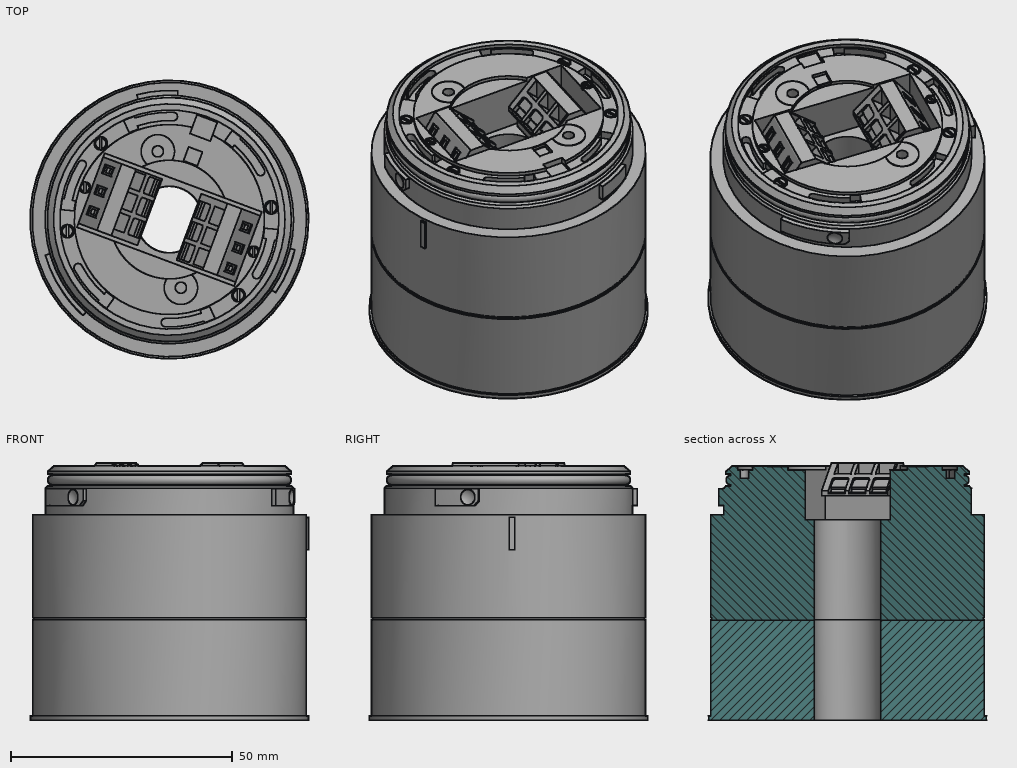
import cadquery as cq
import math

FLANGE_D = 63.0
FLANGE_H = 1.0
BODY_D = 62.0
BASE_H = 22.7
CABLE_HOLE_D = 15.0

JOINT_GAP_H = 0.5
JOINT_GAP_DEPTH = 0.25
SHOULDER_Z = 46.5
NECK_D = 56.2
NECK_TOP_Z = 53.0
NECK_CHAMFER = 0.5
LIP_D = 55.1
LIP_BOTTOM_Z = 55.6
LIP_EDGE_Z = 56.25
LIP_TOP_D = 52.3
RIM_Z = 57.5
SEAL_D = 55.1
SEAL_SECTION_D = 2.15
SEAL_Z = 54.3

MARKER_W = 1.25
MARKER_TOP_Z = 45.85
MARKER_BOTTOM_Z = 38.55
MARKER_Y = 0.75

LUG_R = 29.15
LUG_ROOT = 0.6
LUG_BOTTOM_Z = 48.5
LUG_TOP_Z = 52.35
LUGS = [(86.2, 104.6, None), (196.0, 228.0, 221.6), (-34.5, -13.5, -18.4)]
LUG_LEAD_IN = 1.1
DETENT_SPHERE_D = 5.5
DETENT_DEPTH = 0.6

CHANNEL_OUTER_R = 24.75
CHANNEL_INNER_R = 21.5
CHANNEL_DEPTH = 0.9
CHANNEL_Z = RIM_Z - CHANNEL_DEPTH

SLOT_COUNT = 6
SLOT_FIRST_ANGLE = 114.8
SLOT_SPAN = 27.0
SLOT_HEAD_SPAN = 6.0
SLOT_MID_R = 23.3
SLOT_W = 1.9
SLOT_HEAD_MARGIN = 0.1
SLOT_DEPTH = 1.9

RING_SCREW_D = 3.0
RING_SCREW_R = 23.2
RING_SCREW_ANGLES = [132.0, 186.5, 6.8, -47.6]
DISC_SCREW_D = 2.5
DISC_SCREW_R = 20.4
DISC_SCREW_ANGLES = [159.2, 159.2 - 180]
SCREW_HEAD_GAP = 0.3
SCREW_DEPTH = 0.75
DRIVE_W = 0.5

INSERT_TILT = -20.5
DISC_RECESS_D = 26.85
DISC_RECESS_DEPTH = 0.9
BOSS_D = 7.55
BOSS_STEP = 0.1
BOSS_HOLE_D = 2.5
BOSS_HOLE_DEPTH = 5.05
BOSS_R = 15.6
BOSS_ANGLES = [99.6, 99.6 - 180]
NOTCH_RADIAL = 4.55
NOTCH_W = 4.9
NOTCH_R = 22.1
NOTCH_DEPTH = 1.5
TAB_SIZE = 3.35
TAB_R = 15.25
TAB_ANGLE = INSERT_TILT + 90

POCKET_L = 37.9
POCKET_W = 17.9
POCKET_FLOOR_Z = 45.35
BLOCK_W = 16.0
BLOCK_TOP_Z = 58.2
BLOCK_INNER_U = 4.7
BLOCK_FLAT_START_U = 11.0
BLOCK_FLAT_END_U = 14.8
INNER_DROP = BLOCK_FLAT_START_U - BLOCK_INNER_U
OUTER_DROP = 6.9
OUTER_CHAMFER = 0.3
INNER_FACE_H = 1.2
FOOT_SETBACK = 2.2
POLE_PITCH = 5.0
POLE_OFFSET = -0.55
POLE_W = 3.95
CLAMP_RUN = 2.45
CLAMP_DEPTH = 4.9
ENTRY_L = 4.15
ENTRY_DEPTH = 0.5
ENTRY_CORNER_R = 0.6
ENTRY_STEP_L = 1.65
ENTRY_STEP_DEPTH = 1.25
TEST_L = 4.1
TEST_W = 2.15
TEST_DEPTH = 0.4
TEST_HOLE_L = 2.4
TEST_HOLE_W = 1.2
TEST_HOLE_DEPTH = 1.25


def cylinder(diameter, z_bottom, z_top):
    return cq.Workplane("XY").workplane(offset=z_bottom).circle(diameter / 2).extrude(z_top - z_bottom)


def polar(radius, angle):
    a = math.radians(angle)
    return (radius * math.cos(a), radius * math.sin(a))


def sector(r_in, r_out, start, end, z_bottom, z_top):
    """Annular sector between two radii and two angles."""
    mid = (start + end) / 2
    return (
        cq.Workplane("XY")
        .workplane(offset=z_bottom)
        .moveTo(*polar(r_in, start))
        .lineTo(*polar(r_out, start))
        .threePointArc(polar(r_out, mid), polar(r_out, end))
        .lineTo(*polar(r_in, end))
        .threePointArc(polar(r_in, mid), polar(r_in, start))
        .close()
        .extrude(z_top - z_bottom)
    )


def make_base():
    base = cylinder(FLANGE_D, 0, FLANGE_H).union(cylinder(BODY_D, FLANGE_H, BASE_H))
    return base.cut(cylinder(CABLE_HOLE_D, 0, BASE_H))


def module_shell():
    joint_r = BODY_D / 2 - JOINT_GAP_DEPTH
    seal_r = (SEAL_D - SEAL_SECTION_D) / 2
    profile = (
        cq.Workplane("XZ")
        .moveTo(0, BASE_H)
        .lineTo(joint_r, BASE_H)
        .lineTo(joint_r, BASE_H + JOINT_GAP_H)
        .lineTo(BODY_D / 2, BASE_H + JOINT_GAP_H)
        .lineTo(BODY_D / 2, SHOULDER_Z)
        .lineTo(NECK_D / 2, SHOULDER_Z)
        .lineTo(NECK_D / 2, NECK_TOP_Z - NECK_CHAMFER)
        .lineTo(NECK_D / 2 - NECK_CHAMFER, NECK_TOP_Z)
        .lineTo(seal_r, NECK_TOP_Z)
        .lineTo(seal_r, SEAL_Z - SEAL_SECTION_D / 2)
        .threePointArc((SEAL_D / 2, SEAL_Z), (seal_r, SEAL_Z + SEAL_SECTION_D / 2))
        .lineTo(seal_r, LIP_BOTTOM_Z)
        .lineTo(LIP_D / 2, LIP_BOTTOM_Z)
        .lineTo(LIP_D / 2, LIP_EDGE_Z)
        .lineTo(LIP_TOP_D / 2, RIM_Z)
        .lineTo(0, RIM_Z)
        .close()
    )
    return profile.revolve(360, (0, 0, 0), (0, 1, 0))


def marker_rib():
    """Rib on the module body that reaches out to the flange diameter."""
    depth = (FLANGE_D - BODY_D) / 2
    overlap = 0.6
    length = depth + overlap
    height = MARKER_TOP_Z - MARKER_BOTTOM_Z
    rib = cq.Workplane("XY").box(length, MARKER_W, height, centered=(False, True, False))
    return rib.translate((FLANGE_D / 2 - length, MARKER_Y, MARKER_BOTTOM_Z))


def plain_lug(start, end):
    return sector(NECK_D / 2 - LUG_ROOT, LUG_R, start, end, LUG_BOTTOM_Z, LUG_TOP_Z)


def detent_lug(start, end, detent):
    """Lug with a chamfer under its leading end and a spherical detent dimple."""
    end_edge = (*polar((NECK_D / 2 + LUG_R) / 2, end), LUG_BOTTOM_Z)
    lug = plain_lug(start, end).edges(cq.NearestToPointSelector(end_edge)).chamfer(LUG_LEAD_IN)
    ball_r = DETENT_SPHERE_D / 2
    ball_centre = (*polar(LUG_R - DETENT_DEPTH + ball_r, detent), (LUG_BOTTOM_Z + LUG_TOP_Z) / 2)
    return lug.cut(cq.Workplane("XY").sphere(ball_r).translate(ball_centre))


def add_lugs(body):
    for start, end, detent in LUGS:
        lug = plain_lug(start, end) if detent is None else detent_lug(start, end, detent)
        body = body.union(lug)
    return body


def contact_slot(head_angle):
    """Arc slot with a wide head, running clockwise from the head angle."""
    floor_z = CHANNEL_Z - SLOT_DEPTH
    tail_angle = head_angle - SLOT_SPAN
    head_in_r = CHANNEL_INNER_R + SLOT_HEAD_MARGIN
    head_out_r = CHANNEL_OUTER_R - SLOT_HEAD_MARGIN
    head = sector(head_in_r, head_out_r, head_angle - SLOT_HEAD_SPAN, head_angle, floor_z, CHANNEL_Z)
    tail = sector(SLOT_MID_R - SLOT_W / 2, SLOT_MID_R + SLOT_W / 2, tail_angle, head_angle, floor_z, CHANNEL_Z)
    end = cylinder(SLOT_W, floor_z, CHANNEL_Z).translate((*polar(SLOT_MID_R, tail_angle), 0))
    return head.union(tail).union(end)


def screw_recess(diameter, radius, angle, z_top):
    """Annular clearance round a screw head, with a driver slot across the head."""
    z_bottom = z_top - SCREW_DEPTH
    head_d = diameter - 2 * SCREW_HEAD_GAP
    ring = cylinder(diameter, z_bottom, z_top).cut(cylinder(head_d, z_bottom, z_top))
    drive = cq.Workplane("XY").box(DRIVE_W, head_d, SCREW_DEPTH).translate((0, 0, z_top - SCREW_DEPTH / 2))
    return ring.union(drive).translate((*polar(radius, angle), 0))


def key_notch(radius, length, width, depth):
    """Rectangular recess in the top face, square to the terminal pocket."""
    notch = cq.Workplane("XY").box(length, width, depth).translate((radius, 0, RIM_Z - depth / 2))
    return notch.rotate((0, 0, 0), (0, 0, 1), TAB_ANGLE)


def cut_top_face(body):
    island = cylinder(2 * CHANNEL_INNER_R, CHANNEL_Z, RIM_Z)
    body = body.cut(cylinder(2 * CHANNEL_OUTER_R, CHANNEL_Z, RIM_Z).cut(island))
    for i in range(SLOT_COUNT):
        body = body.cut(contact_slot(SLOT_FIRST_ANGLE - i * 360 / SLOT_COUNT))
    for angle in RING_SCREW_ANGLES:
        body = body.cut(screw_recess(RING_SCREW_D, RING_SCREW_R, angle, CHANNEL_Z))
    for angle in DISC_SCREW_ANGLES:
        body = body.cut(screw_recess(DISC_SCREW_D, DISC_SCREW_R, angle, RIM_Z))
    for angle in BOSS_ANGLES:
        centre = (*polar(BOSS_R, angle), 0)
        body = body.cut(cylinder(BOSS_D, RIM_Z - BOSS_STEP, RIM_Z).translate(centre))
        body = body.cut(cylinder(BOSS_HOLE_D, RIM_Z - BOSS_HOLE_DEPTH, RIM_Z).translate(centre))
    body = body.cut(cylinder(DISC_RECESS_D, RIM_Z - DISC_RECESS_DEPTH, RIM_Z))
    body = body.cut(key_notch(NOTCH_R, NOTCH_RADIAL, NOTCH_W, NOTCH_DEPTH))
    return body.cut(key_notch(TAB_R, TAB_SIZE, TAB_SIZE, DISC_RECESS_DEPTH))


def face_pocket(plane, along, across, length, width, depth):
    """Rectangular pocket sunk into a sloped face; 'across' is measured along +Y."""
    return cq.Workplane(plane).center(along, plane.yDir.y * across).rect(length, width).extrude(-depth)


def block_body():
    outer_u = POCKET_L / 2
    slope_bottom_z = BLOCK_TOP_Z - INNER_DROP
    foot_u = BLOCK_INNER_U + FOOT_SETBACK
    return (
        cq.Workplane("XZ")
        .moveTo(foot_u, POCKET_FLOOR_Z)
        .lineTo(outer_u, POCKET_FLOOR_Z)
        .lineTo(outer_u, BLOCK_TOP_Z - OUTER_DROP)
        .lineTo(BLOCK_FLAT_END_U, BLOCK_TOP_Z - OUTER_CHAMFER)
        .lineTo(BLOCK_FLAT_END_U - OUTER_CHAMFER, BLOCK_TOP_Z)
        .lineTo(BLOCK_FLAT_START_U, BLOCK_TOP_Z)
        .lineTo(BLOCK_INNER_U, slope_bottom_z)
        .lineTo(BLOCK_INNER_U, slope_bottom_z - INNER_FACE_H)
        .lineTo(foot_u, slope_bottom_z - INNER_FACE_H)
        .close()
        .extrude(BLOCK_W / 2, both=True)
    )


def clamp_notch(across):
    """V notch with an upright back wall and a floor that rises to the entry slope."""
    return (
        cq.Workplane("XZ", origin=(0, across, 0))
        .moveTo(BLOCK_FLAT_START_U, BLOCK_TOP_Z)
        .lineTo(BLOCK_FLAT_START_U, BLOCK_TOP_Z - CLAMP_DEPTH)
        .lineTo(BLOCK_FLAT_START_U - CLAMP_RUN, BLOCK_TOP_Z - CLAMP_RUN)
        .close()
        .extrude(POLE_W / 2, both=True)
    )


def wire_entry(inner_face, across):
    """Open-ended pocket at the foot of the entry slope, with a deeper lower end."""
    slope_l = math.sqrt(2) * INNER_DROP
    overrun = 2 * ENTRY_CORNER_R
    length = ENTRY_L + overrun
    shallow = face_pocket(
        inner_face, slope_l + overrun - length / 2, across, length, POLE_W, ENTRY_DEPTH)
    shallow = shallow.edges(cq.ParallelDirSelector(inner_face.zDir)).fillet(ENTRY_CORNER_R)
    step = face_pocket(
        inner_face, slope_l - ENTRY_STEP_L / 2, across, ENTRY_STEP_L, POLE_W, ENTRY_STEP_DEPTH)
    return shallow.union(step)


def terminal_block():
    """Three-pole block lying along +X of the untilted pocket."""
    outer_run = POCKET_L / 2 - BLOCK_FLAT_END_U
    inner_face = cq.Plane(
        origin=(BLOCK_FLAT_START_U, 0, BLOCK_TOP_Z), xDir=(-1, 0, -1), normal=(-1, 0, 1))
    outer_rise = OUTER_DROP - OUTER_CHAMFER
    outer_face = cq.Plane(
        origin=(BLOCK_FLAT_END_U + outer_run / 2, 0, BLOCK_TOP_Z - OUTER_CHAMFER - outer_rise / 2),
        xDir=(outer_run, 0, -outer_rise),
        normal=(outer_rise, 0, outer_run),
    )
    block = block_body()
    for pole in (-1, 0, 1):
        v = POLE_OFFSET + pole * POLE_PITCH
        block = block.cut(clamp_notch(v))
        block = block.cut(wire_entry(inner_face, v))
        block = block.cut(face_pocket(outer_face, 0, v, TEST_L, TEST_W, TEST_DEPTH))
        block = block.cut(face_pocket(outer_face, 0, v, TEST_HOLE_L, TEST_HOLE_W, TEST_HOLE_DEPTH))
    return block


def add_terminals(body):
    depth = RIM_Z - POCKET_FLOOR_Z
    pocket = cq.Workplane("XY").box(POCKET_L, POCKET_W, depth).translate((0, 0, RIM_Z - depth / 2))
    body = body.cut(pocket.rotate((0, 0, 0), (0, 0, 1), INSERT_TILT))
    for turn in (0, 180):
        body = body.union(terminal_block().rotate((0, 0, 0), (0, 0, 1), INSERT_TILT + turn))
    return body.cut(cylinder(CABLE_HOLE_D, BASE_H, POCKET_FLOOR_Z))


def make_module():
    module = module_shell().union(marker_rib())
    module = add_lugs(module)
    module = cut_top_face(module)
    return add_terminals(module)


base = make_base()
terminal_module = make_module()
result = cq.Compound.makeCompound([base.val(), terminal_module.val()])